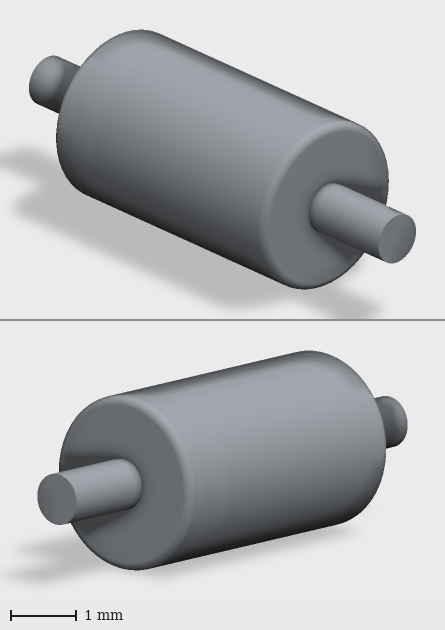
import cadquery as cq

overall_length = 7.7
body_length = 4.65
body_diameter = 2.692
lead_diameter = 0.787
edge_radius = 0.13

band_offset = 0.3
band_width = 0.62

body_start = -body_length / 2
body_end = body_length / 2
band_start = body_start + band_offset
band_end = band_start + band_width
lead_length = (overall_length - body_length) / 2


def cylinder_along_x(start, length, diameter):
    """Solid cylinder on the X axis, running from start towards +X."""
    return cq.Workplane("YZ", origin=(start, 0, 0)).circle(diameter / 2).extrude(length)


def make_end_cap():
    """Short -X end of the body, with its outer edge rounded."""
    cap = cylinder_along_x(body_start, band_offset, body_diameter)
    return cap.faces("<X").edges().fillet(edge_radius)


def make_band():
    """Polarity band between the end cap and the main body."""
    return cylinder_along_x(band_start, band_width, body_diameter)


def make_main_body():
    """Long +X part of the body, with its outer edge rounded."""
    main = cylinder_along_x(band_end, body_end - band_end, body_diameter)
    return main.faces(">X").edges().fillet(edge_radius)


def make_lead(start):
    """Straight wire lead that butts against an end face of the body."""
    return cylinder_along_x(start, lead_length, lead_diameter)


end_cap = make_end_cap()
band = make_band()
main_body = make_main_body()
lead_starts = [body_start - lead_length, body_end]
leads = [make_lead(start) for start in lead_starts]

result = cq.Compound.makeCompound(
    [end_cap.val(), band.val(), main_body.val(), *[lead.val() for lead in leads]]
)